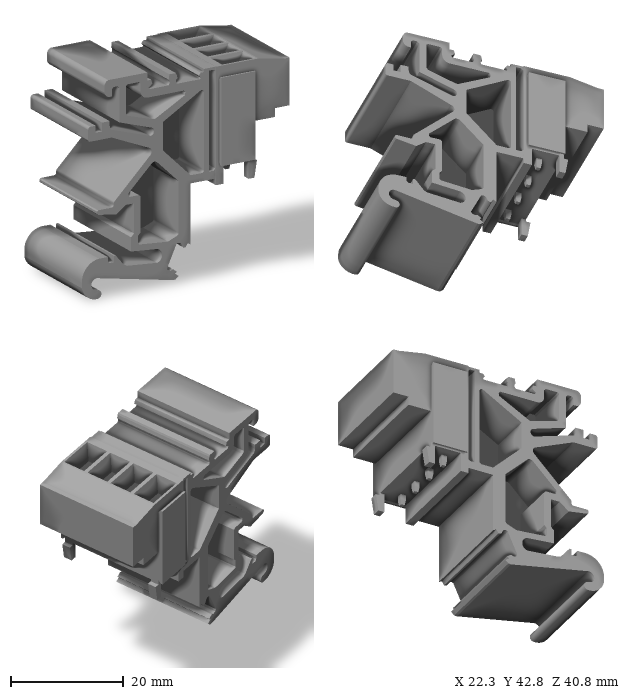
import cadquery as cq


POLES = 4
PITCH = 5.1
CARRIER_WIDTH = 20.18
HOUSING_WIDTH = 20.5
OVERALL_WIDTH = 22.3
TOP = 39.45
DECK = 37.6
CROWN = 40.83
SHELF = 18.35

LEDGE_TOP = TOP - 0.05
LEDGE_Y = -2.35
BACK_Y = -5.1
HOOK_WALL_Y = -19.8
FOOT_WALL_Y = -16.75
SLOT_ROOT_TOP = (-13.12, 30.25)
SLOT_ROOT_BOTTOM = (-13.42, 28.75)
NOTCH_TOP = (-13.85, 26.65)
LIP_TOP = 16.67
FOOT_SLOT_TOP = (-12.0, 7.22)
FOOT_SLOT_BOTTOM = (-12.0, 4.6)
ANKLE_BACK = (-8.05, 7.45)
HEEL = (-9.95, 3.2)

WEB_THICKNESS = 2.75

SLOT_WIDTH = 1.35
SLOT_TOP = 38.9
SLOT_BOTTOM = 19.9
SLOT_CHAMFER = 0.4
WEB_TOP = 38.4
WEB_CHAMFER = 0.8

HOUSING_BACK_Y = 15.2
SLOPE_START_Y = 14.2
SLOPE_END_Y = 8.8
BROW_TOP = 38.48
NOSE_STEP_Y = 12.15
NOSE_BOTTOM = 29.5
BELLY_BOTTOM = 27.85
BODY_BACK_Y = 7.6
BODY_BOTTOM = 20.85
LEG_BOTTOM = 17.15
REAR_LEG_THICKNESS = 1.55

LATCH_WIDTH = 1.65
LATCH_THICKNESS = 0.85
LATCH_BARB = 0.85
LATCH_TIP_BARB = 0.35
LATCH_SHOULDER = 20.4

RAIL_FRONT_Y = 0.65
RAIL_TOP = 37.55
RAIL_TIP = 0.35
RAIL_DEPTH = (OVERALL_WIDTH - HOUSING_WIDTH) / 2
RAIL_CHAMFER = RAIL_DEPTH - RAIL_TIP

POCKET_WIDTH = 4.35
POCKET_FRONT_Y = 1.55
POCKET_BACK_Y = 8.45
FLOOR_WIDTH = 2.8
FLOOR_FRONT_Y = 2.22
FLOOR_BACK_Y = 6.1
POCKET_DEPTH = 3.6

PIN_WIDTH = 1.05
PIN_Y = 3.7
PIN_LENGTH = 2.0
PIN_TIP_LENGTH = 1.03
PIN_TIP_WIDTH = 0.73


def sketch(start):
    """Begin a (y, z) outline at the given point."""
    return cq.Workplane("YZ").moveTo(*start)


def extrude(outline, width):
    """Close an outline and extrude it symmetrically about X = 0."""
    return outline.close().extrude(width / 2, both=True)


def prism(points, width):
    """Extrude a straight-sided outline symmetrically about X = 0."""
    return extrude(cq.Workplane("YZ").polyline(points), width)



def carrier_core():
    outline = (
        sketch((0, LEDGE_TOP))
        .lineTo(LEDGE_Y, LEDGE_TOP)
        .lineTo(LEDGE_Y, DECK)
        .lineTo(HOOK_WALL_Y, DECK)
        .lineTo(HOOK_WALL_Y, 32.45)
        .lineTo(*SLOT_ROOT_TOP)
        .threePointArc((-12.65, 29.5), SLOT_ROOT_BOTTOM)
        .lineTo(*NOTCH_TOP)
        .threePointArc((-13.15, 26.05), (-13.4, 25.2))
        .lineTo(-20.78, 17.8)
        .threePointArc((-20.9, 17.6), (-20.95, 17.4))
        .lineTo(-20.95, 17.1)
        .threePointArc((-21.08, 16.8), (-21.38, LIP_TOP))
        .lineTo(FOOT_WALL_Y, LIP_TOP)
        .lineTo(FOOT_WALL_Y, 11.0)
        .lineTo(-17.4, 10.4)
        .lineTo(-17.4, 7.7)
        .lineTo(*FOOT_SLOT_TOP)
        .lineTo(*ANKLE_BACK)
        .threePointArc((-7.35, 7.52), (-6.93, 6.93))
        .threePointArc((-6.63, 6.6), (-6.15, 6.45))
        .lineTo(-5.73, 7.2)
        .lineTo(BACK_Y, 6.85)
        .lineTo(BACK_Y, SHELF)
        .lineTo(0, SHELF)
    )
    return extrude(outline, CARRIER_WIDTH)


def ledge_catch():
    """Small pointed catch below the ledge, facing the middle rib."""
    return prism(
        [(LEDGE_Y, 38.8), (-3.05, 38.8), (-3.4, 38.35), (-3.05, 37.88), (-3.15, DECK), (LEDGE_Y, DECK)],
        CARRIER_WIDTH,
    )


def middle_rib():
    """Rib standing on the deck, with a small barb on each side."""
    outline = (
        sketch((-7.95, DECK))
        .lineTo(-8.12, 37.9)
        .lineTo(-8.1, 38.45)
        .lineTo(-7.82, 38.65)
        .lineTo(-8.0, 39.35)
        .lineTo(-8.15, 39.67)
        .lineTo(-9.5, 39.67)
        .lineTo(-9.6, 38.65)
        .threePointArc((-9.4, 38.1), (-9.75, DECK))
    )
    return extrude(outline, CARRIER_WIDTH)


def rail_hook():
    """Overhanging hook at the top, with the catch that faces the middle rib."""
    outline = (
        sketch((-13.5, DECK))
        .lineTo(-13.75, 37.9)
        .lineTo(-13.0, 38.55)
        .lineTo(-13.25, 39.35)
        .lineTo(-14.02, 39.35)
        .lineTo(-14.02, CROWN)
        .lineTo(-22.1, CROWN)
        .threePointArc((-22.65, 40.45), (-22.85, 39.75))
        .lineTo(-22.85, 38.6)
        .threePointArc((-22.55, 37.9), (-21.8, 37.6))
        .lineTo(-21.35, 37.6)
        .lineTo(-21.35, 39.0)
        .lineTo(-21.0, 39.35)
        .lineTo(-20.18, 39.35)
        .lineTo(HOOK_WALL_Y, 38.9)
        .lineTo(HOOK_WALL_Y, DECK)
    )
    return extrude(outline, CARRIER_WIDTH)


def spring_arm():
    """Slanted arm under the hook, ending in a grooved head."""
    head_floor = 31.38
    head_bottom = 29.9
    outline = (
        sketch(SLOT_ROOT_BOTTOM)
        .lineTo(-21.5, head_floor)
        .threePointArc((-21.67, 31.68), (-21.8, 32.15))
        .lineTo(-21.8, 33.05)
        .lineTo(-23.35, 33.05)
        .lineTo(-23.35, head_floor)
        .lineTo(-24.7, head_floor)
        .lineTo(-24.7, 32.7)
        .lineTo(-25.75, 32.7)
        .threePointArc((-26.08, 32.55), (-26.25, 32.2))
        .lineTo(-26.25, 30.3)
        .threePointArc((-26.1, 30.0), (-25.8, head_bottom))
        .lineTo(-21.38, head_bottom)
        .lineTo(*NOTCH_TOP)
    )
    return extrude(outline, CARRIER_WIDTH)


def rail_lip():
    """Thin lip at the end of the diagonal wall."""
    return prism(
        [(-18.5, LIP_TOP), (-24.2, LIP_TOP), (-24.4, 16.45), (-24.4, 16.05), (-24.2, 15.8), (-20.4, 15.2)],
        CARRIER_WIDTH,
    )


def foot():
    """Lower arm: ankle, grooved crest, large curled hook and barbed heel."""
    crest = 7.52
    groove_floor = 6.33
    outline = (
        sketch(FOOT_SLOT_TOP)
        .threePointArc((-11.0, 5.9), FOOT_SLOT_BOTTOM)
        .lineTo(-18.35, 5.17)
        .lineTo(-18.85, 5.45)
        .lineTo(-20.55, crest)
        .lineTo(-20.95, crest)
        .lineTo(-20.95, groove_floor)
        .lineTo(-21.9, groove_floor)
        .lineTo(-22.2, 6.65)
        .lineTo(-22.2, crest)
        .lineTo(-24.03, crest)
        .threePointArc((-26.6, 6.25), (-27.55, 3.6))
        .lineTo(-27.55, 2.55)
        .threePointArc((-26.6, 0.8), (-24.4, 0))
        .threePointArc((-23.5, 0.75), (-24.3, 1.62))
        .lineTo(-24.6, 1.7)
        .threePointArc((-25.55, 2.9), (-24.4, 3.95))
        .lineTo(-8.7, 0.75)
        .lineTo(-8.2, 0.8)
        .lineTo(-7.55, 1.35)
        .lineTo(-8.3, 1.9)
        .lineTo(-7.95, 2.25)
        .lineTo(-8.7, 2.8)
        .lineTo(-9.25, 2.6)
        .lineTo(-9.8, 2.8)
        .lineTo(*HEEL)
        .lineTo(*ANKLE_BACK)
    )
    return extrude(outline, CARRIER_WIDTH)


def upper_cavity():
    outline = (
        sketch((-15.77, 39.35))
        .lineTo(-18.2, 39.35)
        .lineTo(-18.45, 39.0)
        .lineTo(-18.45, 33.8)
        .lineTo(-18.1, 33.4)
        .lineTo(-12.85, 31.8)
        .threePointArc((-12.55, 31.8), (-12.25, 31.9))
        .lineTo(-6.33, 35.15)
        .lineTo(-6.2, 35.7)
        .lineTo(-6.5, 36.1)
        .lineTo(-13.95, 36.1)
        .threePointArc((-15.0, 36.5), (-15.45, 37.55))
        .lineTo(-15.45, 39.0)
    )
    return extrude(outline, CARRIER_WIDTH)


def middle_cavity():
    outline = (
        sketch((-2.35, 35.05))
        .threePointArc((-2.55, 35.45), (-3.05, 35.5))
        .lineTo(-10.85, 30.9)
        .lineTo(-10.85, 25.6)
        .lineTo(-5.1, SLOT_BOTTOM)
        .lineTo(-2.8, SLOT_BOTTOM)
        .threePointArc((-2.5, 20.0), (-2.35, 20.3))
    )
    return extrude(outline, CARRIER_WIDTH)


def lower_cavity():
    outline = (
        sketch((-12.05, 23.6))
        .lineTo(-7.6, 19.25)
        .lineTo(-7.6, 9.4)
        .threePointArc((-7.7, 9.15), (-7.9, 8.98))
        .lineTo(-9.8, 8.2)
        .lineTo(-15.75, 8.7)
        .lineTo(-15.95, 8.98)
        .lineTo(-15.95, 10.45)
        .lineTo(-15.45, 10.95)
        .lineTo(-15.45, 17.75)
        .lineTo(-15.77, 18.05)
        .lineTo(-17.7, 18.05)
        .lineTo(-17.95, 18.35)
        .lineTo(-17.95, 18.75)
        .lineTo(-13.1, 23.6)
        .threePointArc((-12.55, 23.75), (-12.05, 23.6))
    )
    return extrude(outline, CARRIER_WIDTH)


def joint_slot():
    """Through slot along the joint, chamfered on the connector side, nearly closed by the central web."""
    slot = prism(
        [(0, SLOT_TOP - SLOT_CHAMFER), (-SLOT_CHAMFER, SLOT_TOP), (-SLOT_WIDTH, SLOT_TOP),
         (-SLOT_WIDTH, SLOT_BOTTOM), (-SLOT_CHAMFER, SLOT_BOTTOM), (0, SLOT_BOTTOM + SLOT_CHAMFER)],
        CARRIER_WIDTH,
    )
    web = prism(
        [(0, WEB_TOP - WEB_CHAMFER), (-WEB_CHAMFER, WEB_TOP), (-SLOT_WIDTH, WEB_TOP),
         (-SLOT_WIDTH, SLOT_BOTTOM), (0, SLOT_BOTTOM)],
        WEB_THICKNESS,
    )
    return slot.cut(web)


def central_web():
    """Slab of material that stays in the cavities at mid width."""
    slab_length = 4 * CROWN
    return cq.Workplane("XY").box(WEB_THICKNESS, slab_length, slab_length)


def build_carrier():
    carrier = carrier_core()
    for feature in (ledge_catch(), middle_rib(), rail_hook(), spring_arm(), rail_lip(), foot()):
        carrier = carrier.union(feature)
    for cavity in (upper_cavity(), middle_cavity(), lower_cavity()):
        carrier = carrier.cut(cavity.cut(central_web()))
    return carrier.cut(joint_slot())



def pole_positions():
    """X positions of the poles, centred on X = 0."""
    return [(pole - (POLES - 1) / 2) * PITCH for pole in range(POLES)]


def housing_block():
    return prism(
        [(0, TOP), (SLOPE_END_Y, TOP), (SLOPE_START_Y, BROW_TOP), (HOUSING_BACK_Y, BROW_TOP),
         (HOUSING_BACK_Y, NOSE_BOTTOM), (NOSE_STEP_Y, NOSE_BOTTOM), (NOSE_STEP_Y, BELLY_BOTTOM),
         (BODY_BACK_Y, BELLY_BOTTOM), (BODY_BACK_Y, BODY_BOTTOM), (REAR_LEG_THICKNESS, BODY_BOTTOM),
         (REAR_LEG_THICKNESS, LEG_BOTTOM), (0, LEG_BOTTOM)],
        HOUSING_WIDTH,
    )


def latch_legs():
    """Barbed latch leg at each end of the housing."""
    inner_y = BODY_BACK_Y - LATCH_THICKNESS
    leg = prism(
        [(inner_y, BODY_BOTTOM), (BODY_BACK_Y, BODY_BOTTOM), (BODY_BACK_Y, LATCH_SHOULDER),
         (BODY_BACK_Y + LATCH_BARB, LATCH_SHOULDER), (BODY_BACK_Y + LATCH_TIP_BARB, LEG_BOTTOM),
         (inner_y, LEG_BOTTOM)],
        LATCH_WIDTH,
    )
    offset = (HOUSING_WIDTH - LATCH_WIDTH) / 2
    return leg.translate((offset, 0, 0)).union(leg.translate((-offset, 0, 0)))


def dovetail_rails():
    """Flared rail on each side of the housing, widest at its outer face."""
    base = HOUSING_WIDTH / 2
    tip = OVERALL_WIDTH / 2
    rail = (
        cq.Workplane("XZ", origin=(0, BODY_BACK_Y, 0))
        .polyline([
            (base, RAIL_TOP - RAIL_CHAMFER), (tip - RAIL_TIP, RAIL_TOP), (tip, RAIL_TOP),
            (tip, BODY_BOTTOM), (tip - RAIL_TIP, BODY_BOTTOM), (base, BODY_BOTTOM + RAIL_CHAMFER),
        ])
        .close()
        .extrude(BODY_BACK_Y - RAIL_FRONT_Y)
    )
    return rail.union(rail.mirror("YZ"))


def funnel_pocket(x):
    """Tapered wire funnel sunk into the top at the given X."""
    pocket_middle_y = (POCKET_FRONT_Y + POCKET_BACK_Y) / 2
    floor_middle_y = (FLOOR_FRONT_Y + FLOOR_BACK_Y) / 2
    return (
        cq.Workplane("XY", origin=(x, pocket_middle_y, TOP))
        .rect(POCKET_WIDTH, POCKET_BACK_Y - POCKET_FRONT_Y)
        .workplane(offset=-POCKET_DEPTH)
        .center(0, floor_middle_y - pocket_middle_y)
        .rect(FLOOR_WIDTH, FLOOR_BACK_Y - FLOOR_FRONT_Y)
        .loft(ruled=True)
    )


def build_connector():
    connector = housing_block().union(latch_legs()).union(dovetail_rails())
    for x in pole_positions():
        connector = connector.cut(funnel_pocket(x))
    return connector


def build_housing():
    """Connector and carrier moulded as one body."""
    return build_connector().union(build_carrier())



def build_pin(x):
    """Square pin with a tapered tip, standing down from the connector floor."""
    shank_length = PIN_LENGTH - PIN_TIP_LENGTH
    shank = (
        cq.Workplane("XY", origin=(x, PIN_Y, BODY_BOTTOM))
        .rect(PIN_WIDTH, PIN_WIDTH)
        .extrude(-shank_length)
    )
    tip = (
        cq.Workplane("XY", origin=(x, PIN_Y, BODY_BOTTOM - shank_length))
        .rect(PIN_WIDTH, PIN_WIDTH)
        .workplane(offset=-PIN_TIP_LENGTH)
        .rect(PIN_TIP_WIDTH, PIN_TIP_WIDTH)
        .loft(ruled=True)
    )
    return shank.union(tip)


housing = build_housing()
pins = [build_pin(x) for x in pole_positions()]

result = cq.Compound.makeCompound([housing.val(), *[pin.val() for pin in pins]])